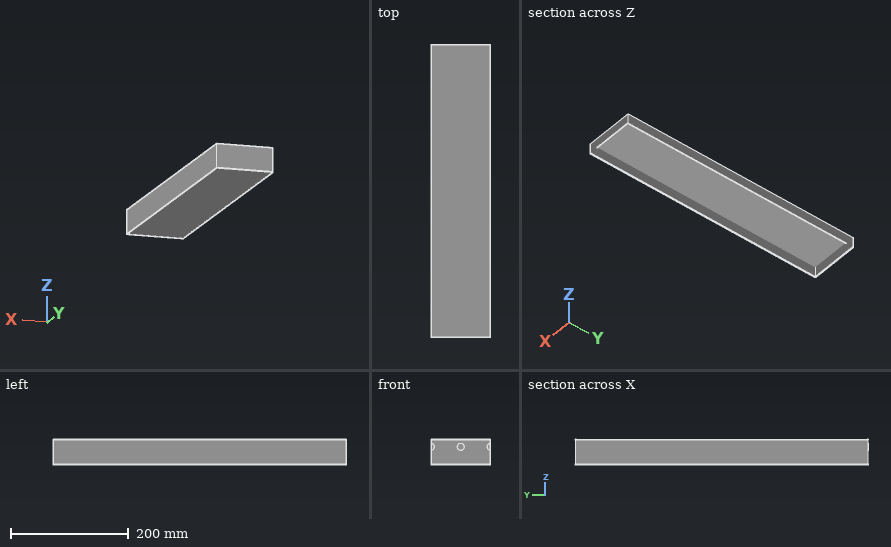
import cadquery as cq

width = 102.0
length = 499.0
height = 44.0
top_edge_radius = 1.45
corner_radius = 1.0

wall = 1.0
base_thickness = 1.5

knockout_diameter = 12.0
knockout_height = 31.0
knockout_spacing = width / 2
knockout_depth = 0.1

overcut = 5.0

inner_width = width - 2 * wall
inner_length = length - 2 * wall


def make_base():
    """Flat base plate between the side walls, flush with both ends of the cover."""
    return cq.Workplane("XY").box(
        inner_width, length, base_thickness, centered=(True, True, False)
    )


def make_knockouts():
    """Cutters for a full circle at mid-width and a half circle at each front corner."""
    return (
        cq.Workplane("XZ", origin=(0, -length / 2 - overcut, knockout_height))
        .pushPoints([(step * knockout_spacing, 0) for step in (-1, 0, 1)])
        .circle(knockout_diameter / 2)
        .extrude(-(overcut + knockout_depth))
    )


def make_cover():
    """Rounded sheet cover, open underneath, with end walls that rest on the base."""
    shell = (
        cq.Workplane("XY")
        .box(width, length, height, centered=(True, True, False))
        .edges("|Z")
        .fillet(corner_radius)
        .faces(">Z")
        .edges()
        .fillet(top_edge_radius)
    )
    cavity = cq.Workplane("XY").box(
        inner_width, inner_length, height - wall, centered=(True, True, False)
    )
    return shell.cut(cavity).cut(make_base()).cut(make_knockouts())


cover = make_cover()
base = make_base()

result = cq.Compound.makeCompound([cover.solids().val(), base.val()])